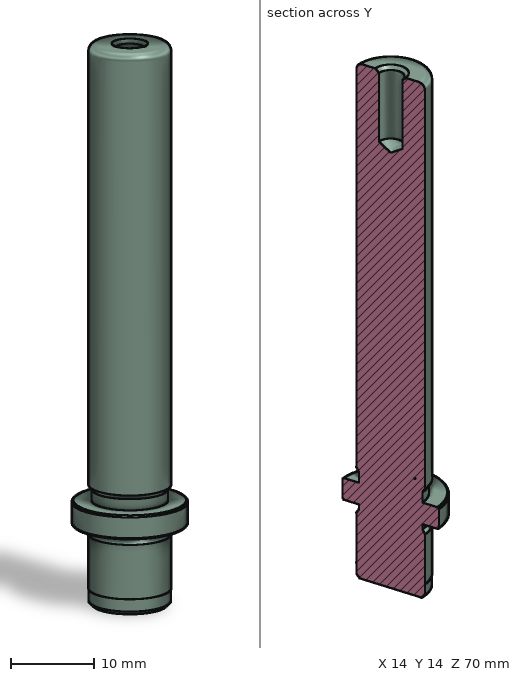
import cadquery as cq
import math

length = 70.0
flange_radius = 14.0 / 2
pin_radius = 10.0 / 2
groove_radius = 9.25 / 2
lead_radius = 9.95 / 2

lead_top = 2.0
lower_groove_bottom = 8.8
flange_bottom = 10.0
flange_thickness = 3.0
flange_top = flange_bottom + flange_thickness
upper_groove_top = 15.0

lead_chamfer = 0.5
groove_chamfer_height = 0.55
flange_chamfer = 0.2
tip_fillet = 1.0

hole_radius = 3.35 / 2
countersink_radius = 4.35 / 2
hole_depth = 9.8
drill_point_angle = 118.0


def make_body():
    """Revolve the stepped half-outline of the pin."""
    rounding_offset = tip_fillet * (1 - math.sqrt(0.5))
    return (
        cq.Workplane("XZ")
        .lineTo(lead_radius - lead_chamfer, 0)
        .lineTo(lead_radius, lead_chamfer)
        .lineTo(lead_radius, lead_top)
        .lineTo(pin_radius, lead_top)
        .lineTo(pin_radius, lower_groove_bottom)
        .lineTo(groove_radius, lower_groove_bottom + groove_chamfer_height)
        .lineTo(groove_radius, flange_bottom)
        .lineTo(flange_radius - flange_chamfer, flange_bottom)
        .lineTo(flange_radius, flange_bottom + flange_chamfer)
        .lineTo(flange_radius, flange_top - flange_chamfer)
        .lineTo(flange_radius - flange_chamfer, flange_top)
        .lineTo(groove_radius, flange_top)
        .lineTo(groove_radius, upper_groove_top - groove_chamfer_height)
        .lineTo(pin_radius, upper_groove_top)
        .lineTo(pin_radius, length - tip_fillet)
        .threePointArc(
            (pin_radius - rounding_offset, length - rounding_offset),
            (pin_radius - tip_fillet, length),
        )
        .lineTo(0, length)
        .close()
        .revolve(360, (0, 0, 0), (0, 1, 0))
    )


def make_hole():
    """Countersunk blind hole with a conical drill point."""
    countersink_depth = countersink_radius - hole_radius
    point_depth = hole_radius / math.tan(math.radians(drill_point_angle / 2))
    hole_floor = length - hole_depth
    return (
        cq.Workplane("XZ")
        .moveTo(0, length)
        .lineTo(countersink_radius, length)
        .lineTo(hole_radius, length - countersink_depth)
        .lineTo(hole_radius, hole_floor)
        .lineTo(0, hole_floor - point_depth)
        .close()
        .revolve(360, (0, 0, 0), (0, 1, 0))
    )


result = make_body().cut(make_hole())